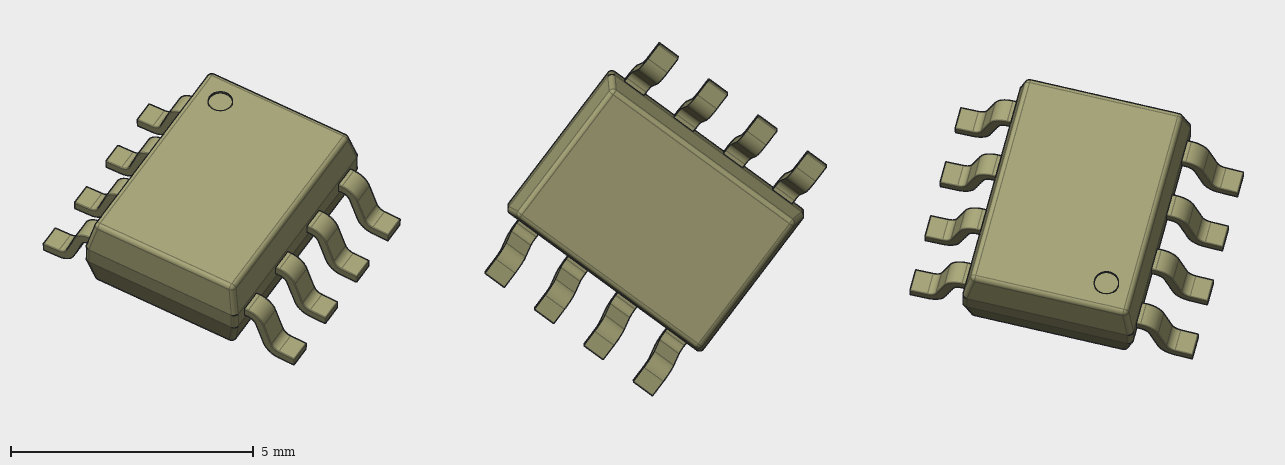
import cadquery as cq
import math

OVERALL_LENGTH = 6.01
OVERALL_HEIGHT = 1.9

BODY_LENGTH = 3.62
BODY_WIDTH = 5.0
BODY_HEIGHT = 1.8
BELT_HEIGHT = 0.395
DRAFT_ANGLE = 12.0
EDGE_RADIUS = 0.11

DIMPLE_RADIUS = 0.25
DIMPLE_INSET = 0.735
DIMPLE_DEPTH = 0.05

LEADS_PER_SIDE = 4
LEAD_PITCH = 1.27
LEAD_WIDTH = 0.5
LEAD_THICKNESS = 0.2
INNER_BEND_RADIUS = 0.2
LEG_ANGLE = math.radians(70.0)
FOOT_ANGLE = math.radians(2.0)
FOOT_LENGTH = 0.38
LEAD_EDGE_RADIUS = 0.02

body_bottom = OVERALL_HEIGHT - BODY_HEIGHT
taper_height = (BODY_HEIGHT - BELT_HEIGHT) / 2
belt_bottom = body_bottom + taper_height
belt_top = belt_bottom + BELT_HEIGHT
belt_middle = (belt_bottom + belt_top) / 2

half_thickness = LEAD_THICKNESS / 2
bend_radius = INNER_BEND_RADIUS + half_thickness
shoulder_reach = bend_radius * math.sin(LEG_ANGLE)
shoulder_drop = bend_radius * (1 - math.cos(LEG_ANGLE))
ankle_reach = bend_radius * (math.sin(LEG_ANGLE) - math.sin(FOOT_ANGLE))
ankle_drop = bend_radius * (math.cos(FOOT_ANGLE) - math.cos(LEG_ANGLE))
foot_reach = FOOT_LENGTH * math.cos(FOOT_ANGLE)
foot_drop = FOOT_LENGTH * math.sin(FOOT_ANGLE)

toe_rounding_loss = LEAD_EDGE_RADIUS * (math.cos(FOOT_ANGLE) + math.sin(FOOT_ANGLE) - 1)
toe_height = half_thickness * math.cos(FOOT_ANGLE) - toe_rounding_loss
leg_drop = belt_middle - toe_height - shoulder_drop - ankle_drop - foot_drop
leg_reach = leg_drop / math.tan(LEG_ANGLE)
toe_x = OVERALL_LENGTH / 2 - half_thickness * math.sin(FOOT_ANGLE) + toe_rounding_loss
ankle_end_x = toe_x - foot_reach
leg_end_x = ankle_end_x - ankle_reach
leg_start_x = leg_end_x - leg_reach
stub_end_x = leg_start_x - shoulder_reach


def tapered_half(base_level, direction):
    """Half of the housing, narrowing from the belt upward (+1) or downward (-1)."""
    inset = taper_height * math.tan(math.radians(DRAFT_ANGLE))
    return (
        cq.Workplane("XY", origin=(0, 0, base_level))
        .rect(BODY_LENGTH, BODY_WIDTH)
        .workplane(offset=direction * taper_height)
        .rect(BODY_LENGTH - 2 * inset, BODY_WIDTH - 2 * inset)
        .loft(ruled=True)
    )


def make_housing():
    """Moulded block: a straight belt between two tapered halves, with rounded edges and a dimple."""
    belt = (
        cq.Workplane("XY", origin=(0, 0, belt_bottom))
        .rect(BODY_LENGTH, BODY_WIDTH)
        .extrude(BELT_HEIGHT)
    )
    block = belt.union(tapered_half(belt_top, 1)).union(tapered_half(belt_bottom, -1))

    corner_edges = block.edges("not(#Z)")
    rim_edges = block.faces(">Z or <Z").edges()
    block = corner_edges.add(rim_edges).fillet(EDGE_RADIUS)

    dimple = (
        cq.Workplane("XY", origin=(0, 0, OVERALL_HEIGHT - DIMPLE_DEPTH))
        .center(DIMPLE_INSET - BODY_LENGTH / 2, BODY_WIDTH / 2 - DIMPLE_INSET)
        .circle(DIMPLE_RADIUS)
        .extrude(DIMPLE_DEPTH)
    )
    return block.cut(dimple)


def make_lead():
    """Gull-wing lead on the +X side, centred on Y = 0, with its top and toe edges rounded."""
    centreline = (
        cq.Workplane("XZ")
        .moveTo(BODY_LENGTH / 2, belt_middle)
        .lineTo(stub_end_x, belt_middle)
        .radiusArc((leg_start_x, belt_middle - shoulder_drop), bend_radius)
        .line(leg_reach, -leg_drop)
        .radiusArc((ankle_end_x, toe_height + foot_drop), -bend_radius)
        .lineTo(toe_x, toe_height)
    )
    strip = (
        cq.Workplane("YZ", origin=(BODY_LENGTH / 2, 0, belt_middle))
        .rect(LEAD_WIDTH, LEAD_THICKNESS)
        .sweep(centreline)
    )
    top_edges = strip.faces(">Z").edges("|X")
    toe_edges = strip.faces(">X").edges()
    return top_edges.add(toe_edges).fillet(LEAD_EDGE_RADIUS)


def make_leads():
    """A row of leads along each long side of the housing."""
    lead = make_lead()
    leads = []
    for index in range(LEADS_PER_SIDE):
        y = (index - (LEADS_PER_SIDE - 1) / 2) * LEAD_PITCH
        for angle in (0, 180):
            placed = lead.rotate((0, 0, 0), (0, 0, 1), angle).translate((0, y, 0))
            leads.append(placed.val())
    return leads


housing = make_housing()
leads = make_leads()
result = cq.Compound.makeCompound([housing.val(), *leads])